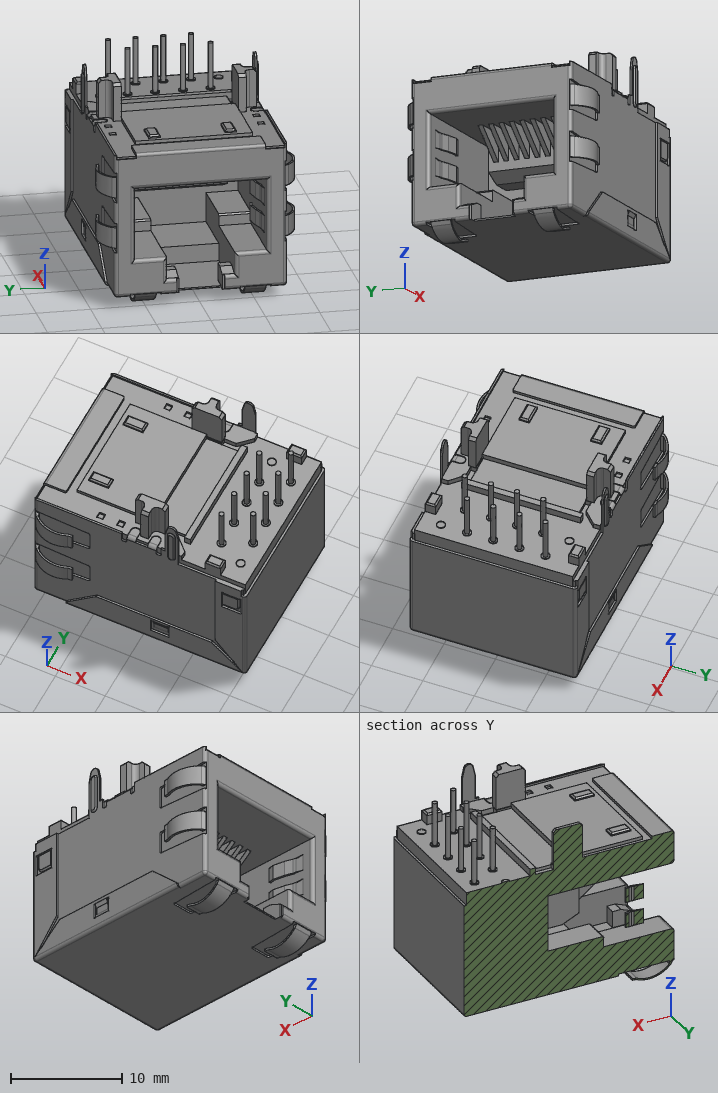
import cadquery as cq
import math


length = 21.37
overall_width = 18.15
overall_height = 18.5

spring_rise = 1.15
half_width = overall_width / 2 - spring_rise
pin_top = overall_height - spring_rise
wall = 0.2
bend = 0.35
lower_bend = 0.32
overlap = 0.21

shell_top = 13.61
top_plate_z = shell_top - wall
shell_rear = 21.07
side_step_x = 14.49
side_step_z = 12.35

deck_z = 12.93
deck_rear = 21.13
deck_half_width = 7.7

cover_half_width = 8.12
cover_front = 3.35
cover_rear_top = 11.63

pad_start, pad_end = 3.1, 10.8
pad_half_width = 5.39
pad_top = 13.75

cavity_half_width = 6.07
cavity_top = 10.28
ledge_z = 3.5
notch_half_width = 3.12
notch_z = 1.4
floor_z = 0.15
step_x = 7.14
cavity_depth = 12.82

pin_pitch = 2.55
pin_count = 4
front_row_x, rear_row_x = 17.14, 19.68


def block(x0, x1, y0, y1, z0, z1):
    return cq.Workplane("XY").box(x1 - x0, y1 - y0, z1 - z0, centered=False).translate((x0, y0, z0))


def centred_block(x0, x1, half, z0, z1):
    return block(x0, x1, -half, half, z0, z1)


def side_profile(points, y0, y1):
    """Outline in X and Z, extruded from y0 to y1."""
    return cq.Workplane("XZ").polyline(points).close().extrude(y0 - y1).translate((0, y0, 0))


def top_profile(points, z0, z1):
    """Outline in X and Y, extruded from z0 to z1."""
    return cq.Workplane("XY").polyline(points).close().extrude(z1 - z0).translate((0, 0, z0))


def disc(x, y, radius, z0, z1):
    return cq.Workplane("XY").center(x, y).circle(radius).extrude(z1 - z0).translate((0, 0, z0))


def both_sides(solid):
    return solid.union(solid.mirror("XZ"))


def make_shell():
    profile = [
        (0, 0), (shell_rear, 0), (shell_rear, side_step_z),
        (side_step_x, side_step_z), (side_step_x, shell_top), (0, shell_top),
    ]
    shell = side_profile(profile, -half_width, half_width)
    shell = shell.edges("|Z and <X").fillet(bend)
    return shell.faces("<Z").edges().fillet(lower_bend)


def make_rear_cover():
    flap_x, flap_z = 18.31, 3.53
    bottom_flap_z = 2.95
    body = centred_block(cover_front, length, cover_half_width, 0, side_step_z)
    body = body.edges("|Z and >X").fillet(lower_bend)
    body = body.faces("<Z").edges("not <X").fillet(lower_bend)
    rear_corner = (length - 0.38, bend)
    bottom_flap = [
        (cover_front, 0), (cover_front, bend), (6.37, bottom_flap_z), (17.93, bottom_flap_z),
        rear_corner, (length, bend), (length, 0),
    ]
    rear_flap = [
        (length, 0), rear_corner, (flap_x, flap_z), (flap_x, side_step_z), (length - 0.45, side_step_z),
        (length - 0.45, cover_rear_top), (length, cover_rear_top),
    ]
    region = side_profile(bottom_flap, -cover_half_width, cover_half_width)
    region = region.union(side_profile(rear_flap, -cover_half_width, cover_half_width))
    return body.intersect(region)


def make_top():
    """Plastic deck, raised pad and cross bar, and the folded strip at the front edge."""
    bar_start, bar_end, bar_half = 14.06, 14.65, 5.8
    floor_half, floor_top = 5.28, 13.25
    plate_end, plate_half = 12.3, 5.85
    wing_start, wing_end, wing_half = 13.5, 14.75, 7.07
    strip_end, strip_half, strip_rise = 2.29, 5.95, 0.06
    rebate_length, rebate_depth = 0.15, 0.17
    half_opening = [
        (pad_end, floor_half), (plate_end, floor_half), (plate_end, plate_half),
        (wing_start, plate_half), (wing_end, wing_half),
    ]
    opening = half_opening + [(x, -y) for x, y in reversed(half_opening)]
    body = make_shell()
    body = body.union(centred_block(pad_end, deck_rear, deck_half_width, bend, deck_z))
    body = body.union(centred_block(plate_end, wing_end, deck_half_width, side_step_z, shell_top))
    body = body.cut(centred_block(0, wing_end, half_width - wall, top_plate_z, shell_top))
    body = body.cut(top_profile(opening, deck_z, pad_top))
    body = body.union(centred_block(pad_end, bar_start, floor_half, side_step_z, floor_top))
    body = body.union(centred_block(bar_start, bar_end, bar_half, side_step_z, shell_top))
    body = body.union(centred_block(pad_start, pad_end, pad_half_width, side_step_z, pad_top))
    strip = centred_block(0, strip_end, strip_half, deck_z, shell_top + strip_rise)
    strip = strip.edges("|Z and >X").fillet(0.17)
    strip = strip.edges("|Y and <X and >Z").fillet(0.28)
    rebate_z = top_plate_z - rebate_depth
    front_rebate = centred_block(0, rebate_length, half_width - wall, rebate_z, shell_top)
    return body.cut(front_rebate).union(strip)


def cut_cavity(body):
    mouth_profile = [
        (-cavity_half_width, ledge_z), (-notch_half_width, ledge_z), (-notch_half_width, notch_z),
        (notch_half_width, notch_z), (notch_half_width, ledge_z), (cavity_half_width, ledge_z),
        (cavity_half_width, cavity_top), (-cavity_half_width, cavity_top),
    ]
    mouth = cq.Workplane("YZ").polyline(mouth_profile).close().extrude(step_x)
    body = body.cut(mouth)
    margin = 0.02
    rim = cq.selectors.BoxSelector(
        (-margin, -cavity_half_width - margin, notch_z - margin),
        (margin, cavity_half_width + margin, cavity_top + margin),
    )
    body = body.edges(rim).fillet(bend)
    rear_ledge_z = 4.6
    stop_x, stop_y, stop_z, stop_slope_end = 2.25, 2.0, 1.82, 1.39
    floor_front = 0.83
    body = body.cut(centred_block(step_x, cavity_depth, cavity_half_width, rear_ledge_z, cavity_top))
    body = body.cut(centred_block(step_x, cavity_depth, notch_half_width, stop_z, cavity_top))
    for side in (-1, 1):
        corner = (step_x, side * (cavity_half_width + notch_half_width) / 2, rear_ledge_z)
        ledge_edge = cq.selectors.NearestToPointSelector(corner)
        body = body.edges(ledge_edge).chamfer(0.15)
    body = body.cut(centred_block(0, wall, stop_y + wall, 0, ledge_z))
    body = body.cut(centred_block(0, floor_front, stop_y, 0, ledge_z))
    body = body.cut(centred_block(0, stop_x, stop_y, floor_z, ledge_z))
    body = body.cut(centred_block(stop_x, step_x, notch_half_width, floor_z, ledge_z))
    stop = [
        (bend, notch_z - overlap), (stop_x, notch_z - overlap), (stop_x, stop_z),
        (stop_slope_end, stop_z), (bend, notch_z),
    ]
    return body.union(both_sides(side_profile(stop, stop_y, notch_half_width + overlap)))


def make_contacts():
    """Contact carrier at the back of the cavity with eight sloping contacts."""
    face_x, face_z = 8.98, 6.82
    contact_count, contact_pitch, contact_width = 8, 1.03, 0.45
    carrier_half, carrier_low, slope_end_x = 4.32, 6.05, 10.68
    header_half, header_z, header_lead = 4.7, 9.92, 0.43
    contact_front, contact_low = 5.55, 7.67
    carrier_profile = [
        (face_x, cavity_top + overlap), (face_x, face_z), (slope_end_x, carrier_low),
        (cavity_depth + overlap, carrier_low), (cavity_depth + overlap, cavity_top + overlap),
    ]
    carrier = side_profile(carrier_profile, -carrier_half, carrier_half)
    header_x = face_x - header_lead
    carrier = carrier.union(centred_block(header_x, cavity_depth, header_half, header_z, cavity_top + overlap))
    contact_profile = [
        (contact_front, cavity_top + overlap), (contact_front, cavity_top),
        (face_x, contact_low), (face_x + overlap, cavity_top + overlap),
    ]
    for i in range(contact_count):
        y = (i - (contact_count - 1) / 2) * contact_pitch - contact_width / 2
        carrier = carrier.union(side_profile(contact_profile, y, y + contact_width))
    return carrier


def tapered(x0, x1, half0, half1, y0, y1):
    """Plate lying along X whose Z width narrows from half0 to half1."""
    return side_profile([(x0, -half0), (x1, -half1), (x1, half1), (x0, half0)], y0, y1)


def make_window():
    """Cut-out in the shell around an outer spring, with the shell face at Y = 0."""
    window_length, front_half, rear_half = 5.65, 1.4, 1.11
    window = tapered(0, window_length, front_half, rear_half, -wall, cover_half_width - half_width)
    return window.edges("|Y and >X").fillet(0.17)


def make_outer_spring():
    """Bowed leaf rooted in the front bend; the shell face is Y = 0 and the crest is at Y = spring_rise."""
    root_x, crest_x, bow_end, tip_x = 0.32, 2.56, 3.85, 4.25
    root_height, tip_drop = 0.17, 0.05
    root_half, tip_half = 0.98, 0.81
    half_span = crest_x - root_x
    sag = spring_rise - root_height
    radius = (half_span**2 + sag**2) / (2 * sag)

    def bow(x, r):
        return (x, spring_rise - radius + math.sqrt(r**2 - (x - crest_x)**2))

    inner = radius - wall
    root_depth = -bend
    leaf = (
        cq.Workplane("XY").moveTo(0, root_depth).lineTo(*bow(root_x, radius))
        .threePointArc(bow(crest_x, radius), bow(bow_end, radius))
        .lineTo(tip_x, bow(bow_end, radius)[1] - tip_drop)
        .lineTo(tip_x, bow(bow_end, inner)[1] - tip_drop)
        .lineTo(*bow(bow_end, inner))
        .threePointArc(bow(crest_x, inner), bow(root_x + wall, inner))
        .lineTo(root_x + wall, root_depth).close().extrude(root_half, both=True)
    )
    return leaf.intersect(tapered(0, tip_x, root_half, tip_half, root_depth, spring_rise))


def make_inner_spring():
    """Leaf bowed into the cavity from its side wall."""
    inner_face = [(bend, 6.2), (1.99, 5.96), (2.35, 5.9), (3.12, 5.65), (4.34, 5.4), (4.92, 5.51)]
    outer_face = [(x, y + wall) for x, y in reversed(inner_face)]
    root_half, blade_half, blade_start, tip_x = 0.98, 0.75, 1.99, 4.92
    leaf = top_profile(inner_face + outer_face, -root_half, root_half)
    width = tapered(0, blade_start, root_half, blade_half, 0, half_width)
    width = width.union(block(blade_start, tip_x, 0, half_width, -blade_half, blade_half))
    return leaf.intersect(width)


def add_springs(body):
    window = make_window()
    outer_spring = make_outer_spring()
    inner_spring = make_inner_spring()
    outer_heights = (10.54, 5.7)
    inner_heights = (8.2, 5.6)
    for z in outer_heights:
        body = body.cut(both_sides(window.translate((0, half_width, z))))
        body = body.union(both_sides(outer_spring.translate((0, half_width, z))))
    for z in inner_heights:
        body = body.union(both_sides(inner_spring.translate((0, 0, z))))
    bottom_y = 5.05
    x_axis = ((0, 0, 0), (1, 0, 0))
    for y in (-bottom_y, bottom_y):
        bottom_window = window.rotate(*x_axis, -90).translate((0, y, 0))
        bottom_spring = outer_spring.rotate(*x_axis, -90).translate((0, y, 0))
        body = body.cut(bottom_window).union(bottom_spring)
    return body


def add_cover_latches(body):
    """On each side, a sloped latch low down and a flat one near the rear, each in its own window."""
    outside = cover_half_width + 0.21
    low_latch_x, low_latch_width = 12.1, 1.4
    low_window = block(11.84, 13.68, half_width, outside, 1.15, 2.63)
    latch_low, latch_bend, latch_high = 1.55, 2.2, 2.6
    low_latch_profile = [
        (half_width - overlap, latch_low), (half_width, latch_low), (half_width + 0.06, latch_bend),
        (cover_half_width + 0.05, latch_high), (half_width - overlap, latch_high),
    ]
    low_latch = cq.Workplane("YZ").polyline(low_latch_profile).close().extrude(low_latch_width)
    low_latch = low_latch.translate((low_latch_x, 0, 0))
    rear_window = block(18.95, 20.88, half_width, outside, 8.93, 11.05)
    rear_latch = block(19.06, 20.7, half_width - overlap, cover_half_width, 9.15, 10.9)
    rear_latch = rear_latch.edges("|Y and >X and <Z").fillet(0.6)
    rear_latch = rear_latch.faces(">Y").edges(">X or <Z").chamfer(0.15)
    body = body.cut(both_sides(low_window.union(rear_window)))
    return body.union(both_sides(low_latch.union(rear_latch)))


post_front, post_rear = 9.32, 12.29


def make_post():
    """T-shaped locating post with coved inner corners."""
    stem_half, cove_half, stem_end = 0.38, 0.88, 7.27
    flange_end = 6.11
    cove_end = flange_end + cove_half - stem_half
    middle = (post_front + post_rear) / 2
    cove = (cove_half - stem_half) * math.sqrt(0.5)
    post_top = 17.0
    post = (
        cq.Workplane("XY").moveTo(post_front, pad_half_width).lineTo(post_front, flange_end)
        .lineTo(middle - cove_half, flange_end)
        .threePointArc((middle - cove_half + cove, cove_end - cove), (middle - stem_half, cove_end))
        .lineTo(middle - stem_half, stem_end).lineTo(middle + stem_half, stem_end)
        .lineTo(middle + stem_half, cove_end)
        .threePointArc((middle + cove_half - cove, cove_end - cove), (middle + cove_half, flange_end))
        .lineTo(post_rear, flange_end).lineTo(post_rear, pad_half_width).close()
        .extrude(post_top - side_step_z).translate((0, 0, side_step_z))
    )
    return post.faces(">Z").edges("<X or >X or >Y").chamfer(0.28)


def make_ground_lug():
    """Flat tongue rising from the shell side, stiffened by a round-ended bead."""
    left, right = 13.16, side_step_x
    middle = (left + right) / 2
    shoulder_z, crown_z, crown_half = 16.03, 16.97, 0.45
    tongue = (
        cq.Workplane("XZ").moveTo(left, side_step_z).lineTo(left, shoulder_z)
        .lineTo(middle - crown_half, crown_z).threePointArc((middle, pin_top), (middle + crown_half, crown_z))
        .lineTo(right, shoulder_z).lineTo(right, side_step_z).close().extrude(-wall)
        .translate((0, half_width - wall, 0))
    )
    bead_low, bead_high, bead_width, bead_rise = 12.7, 16.58, 0.77, 0.17
    bead = (
        cq.Workplane("XZ").center(middle, (bead_low + bead_high) / 2)
        .slot2D(bead_high - bead_low, bead_width, 90).extrude(-wall - bead_rise)
        .translate((0, half_width - wall, 0))
    )
    bead = bead.faces(">Y").edges().chamfer(0.15)
    return tongue.union(bead)


def cut_shell_top(body):
    """Relief pockets, bend reliefs and small square holes along both top edges of the shell."""
    pocket_width, pocket_end = 0.9, 6.58
    pocket_floor = top_plate_z - 0.09
    pocket_radius = pocket_width / 2
    fold_start, fold_end_z = 7.48, 13.08
    fold_depth = half_width - fold_start
    fold_drop = pocket_floor - fold_end_z
    fold_middle = (
        fold_start + fold_depth * math.sin(math.pi / 4),
        pocket_floor - fold_drop * (1 - math.cos(math.pi / 4)),
    )
    pocket_starts = (post_front, post_rear - pocket_width)
    cuts = block(post_front, post_rear, half_width - wall, half_width, fold_end_z, shell_top)
    for x in pocket_starts:
        cuts = cuts.union(
            disc(x + pocket_radius, pocket_end + pocket_radius, pocket_radius, pocket_floor, shell_top)
        )
        cuts = cuts.union(
            block(x, x + pocket_width, pocket_end + pocket_radius, half_width, pocket_floor, shell_top)
        )
    relief_width, relief_bottom = 0.5, 12.6
    for x in (post_front - relief_width, post_rear):
        relief = block(x, x + relief_width, half_width - wall, half_width, relief_bottom, shell_top)
        cuts = cuts.union(relief.edges("|Y and <Z").fillet(0.15))
    hole, hole_y = 0.58, 6.52
    for x in (5.92, 7.93):
        cuts = cuts.union(block(x, x + hole, hole_y, hole_y + hole, top_plate_z - wall, shell_top))
    body = body.cut(both_sides(cuts))
    fold = (
        cq.Workplane("YZ").moveTo(fold_start, pocket_floor)
        .threePointArc(fold_middle, (half_width, fold_end_z))
        .lineTo(fold_start, fold_end_z).close().extrude(pocket_width)
    )
    for x in pocket_starts:
        above_fold = block(x, x + pocket_width, fold_start, half_width, fold_end_z, shell_top)
        body = body.cut(both_sides(above_fold)).union(both_sides(fold.translate((x, 0, 0))))
    return body


def bevelled_block(x0, x1, y0, y1, z0, z1):
    return block(x0, x1, y0, y1, z0, z1).faces(">Z").edges().chamfer(0.15)


def add_top_blocks(body):
    """Two low blocks on the raised pad and two staggered taller ones at the edges of the deck."""
    block_top, rear_block_y = 14.02, 6.67
    pad_block_start, pad_block_end = 3.57, 5.55
    for y0, y1 in ((3, 4.05), (-3.97, -2.97)):
        body = body.union(bevelled_block(pad_block_start, pad_block_end, y0, y1, shell_top, block_top))
    body = body.union(bevelled_block(18.16, 19.65, rear_block_y, deck_half_width, side_step_z, block_top))
    return body.union(bevelled_block(17.1, 18.63, -deck_half_width, -rear_block_y, side_step_z, block_top))


def add_pins(body):
    """Two staggered rows of five collars; one end collar of each row has no pin."""
    collar_radius, collar_height, pin_radius = 0.4, 0.09, 0.24
    row_end = 2.25 * pin_pitch
    for i in range(pin_count + 1):
        for x, direction in ((front_row_x, 1), (rear_row_x, -1)):
            y = direction * (row_end - i * pin_pitch)
            body = body.union(disc(x, y, collar_radius, deck_z - overlap, deck_z + collar_height))
            if i > 0:
                body = body.union(disc(x, y, pin_radius, deck_z - overlap, pin_top))
    return body


part = make_top().union(make_rear_cover())
part = cut_cavity(part).union(make_contacts())
part = add_springs(part)
part = add_cover_latches(part)
part = cut_shell_top(part)
part = part.union(both_sides(make_post())).union(both_sides(make_ground_lug()))
part = add_top_blocks(part)
result = add_pins(part)